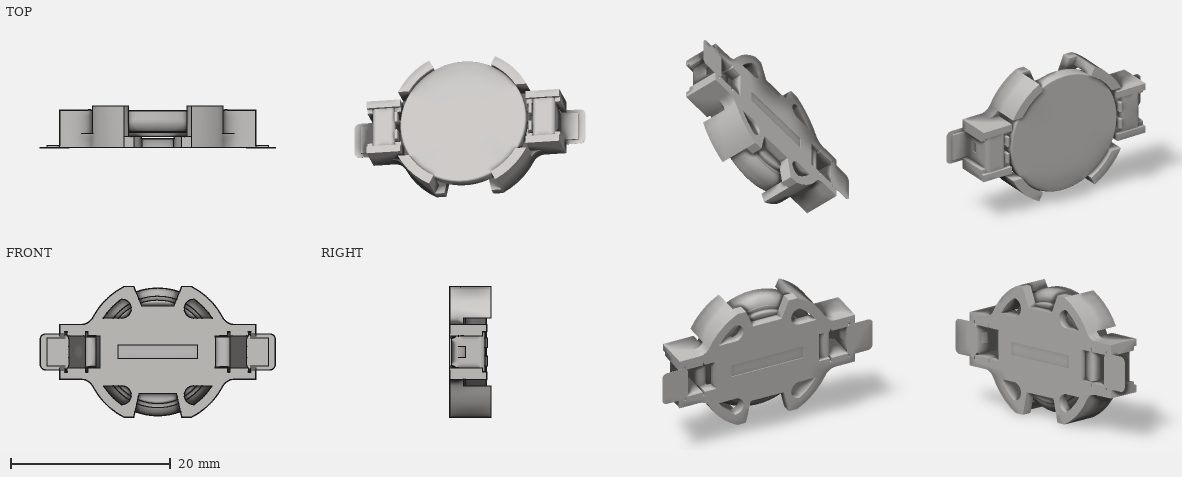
import cadquery as cq
import math


pad_thickness = 0.03
pad_outer_x = 14.73
pad_inner_x = 11.15
pad_half_height = 2.27
pad_corner_radius = 0.7

front = pad_thickness
cell_radius = 8.0
wall_radius = 9.22
holder_height = 16.4
holder_half_height = holder_height / 2
holder_half_length = 12.28
block_half_height = 3.45
neck_fillet_radius = 1.6
plate_top = 1.4
neck_top = 1.77
block_top = 4.7
wall_top = 5.25
wall_foot_z = 4.25
seat_floor = 1.15
seat_radius = 6.13

top_notch_depth_z = 5.77
top_notch_half_widths = (2.0, 3.0)
bottom_notch_depth_z = 5.18
bottom_notch_half_widths = (2.33, 3.0)

window_round_radius = 1.18
window_round_x = 4.5

label_half_length = 5.0
label_half_height = 0.85
label_depth = 0.1

strip = 0.27
bend_radius = 1.5 * strip
foot_end_x = 13.88
outer_leg_x = 11.5
inner_leg_x = 8.9
terminal_top = 4.45
foot_half_width = 1.75
outer_leg_half_width = 1.97
shoulder_half_width = 2.47
inner_leg_half_width = 1.9
arm_tilt = math.radians(20)
arm_end_x = 6.25
side_contact_radius = 0.53
side_contact_center_y = 2.05
face_contact_radius = 0.45
face_contact_center_y = 0.95
mount_shoulder_start_y = 1.18
side_shoulder_start_y = side_contact_center_y
shoulder_full_y = 3.83
strip_middle_y = terminal_top - strip / 2
upper_bend_y = strip_middle_y - bend_radius
plate_middle_x = (inner_leg_x + outer_leg_x) / 2

barb_half_width = 0.68
barb_bottom = 1.12
barb_top = 2.03
barb_reach = 0.27

finger_top = 4.8
finger_bottom = 3.54
finger_end_x = 8.35
finger_inner_z = 0.53
finger_outer_z = 1.77
finger_round = 0.15

channel_half_width = 2.0
channel_inner_x = 7.22
slit_half_height = 2.53
arm_channel_floor = 0.68
arm_channel_end_x = 5.9

cell_back = 4.65
can_back_fillet = 0.2
can_shoulder_y = 3.45
can_shoulder_radius = 1.47
can_mouth_radius = 6.98
can_wall = 0.27
gasket_front = 1.95
cap_radius = 6.48
cap_fillet = 0.27
cap_front = plate_top


def box(x_range, y_range, z_range):
    size = [high - low for low, high in (x_range, y_range, z_range)]
    return cq.Workplane("XY").box(*size, centered=False).translate((x_range[0], y_range[0], z_range[0]))


def on_front(y):
    """Sketch plane facing the board at depth y; negative extrusions go toward +Y."""
    return cq.Workplane("XZ", origin=(0, y, 0))


def disc(radius, y_low, y_high):
    return on_front(y_low).circle(radius).extrude(y_low - y_high)


def mirrored(shape, planes):
    for plane in planes:
        shape = shape.union(shape.mirror(plane))
    return shape


def point_at(center, radius, angle):
    return (center[0] + radius * math.cos(angle), center[1] + radius * math.sin(angle))



flat_half_width = math.sqrt(wall_radius**2 - holder_half_height**2)
wall_end_angle = math.atan2(holder_half_height, flat_half_width)


def outline_body(y_top):
    """Holder outline, extruded from its front face to y_top."""
    fillet_z = block_half_height + neck_fillet_radius
    fillet_x = math.sqrt((wall_radius + neck_fillet_radius) ** 2 - fillet_z**2)
    neck_angle = math.atan2(fillet_z, fillet_x)
    arc_middle = point_at((0, 0), wall_radius, (wall_end_angle + neck_angle) / 2)
    tangent = point_at((0, 0), wall_radius, neck_angle)
    fillet_middle_angle = (neck_angle + math.pi + math.radians(270)) / 2
    fillet_middle = point_at((fillet_x, fillet_z), neck_fillet_radius, fillet_middle_angle)
    quarter = (
        on_front(front)
        .lineTo(0, holder_half_height)
        .lineTo(flat_half_width, holder_half_height)
        .threePointArc(arc_middle, tangent)
        .threePointArc(fillet_middle, (fillet_x, block_half_height))
        .lineTo(holder_half_length, block_half_height)
        .lineTo(holder_half_length, 0)
        .close()
        .extrude(front - y_top)
    )
    return mirrored(quarter, ("YZ", "XY"))


def round_walls():
    """Four wall arcs around the cell, each from the neck to the radial end cut."""
    reach = 2 * wall_radius
    sector = (
        on_front(front)
        .moveTo(wall_foot_z / math.tan(wall_end_angle), wall_foot_z)
        .lineTo(*point_at((0, 0), reach, wall_end_angle))
        .lineTo(reach, wall_foot_z)
        .close()
        .extrude(front - wall_top)
    )
    ring = outline_body(wall_top).cut(disc(cell_radius, front, wall_top))
    return ring.intersect(mirrored(sector, ("YZ", "XY")))


def necks():
    """Raised stretches of the outline between the end blocks and the round walls."""
    band_x = (-holder_half_length, holder_half_length)
    band = box(band_x, (front, neck_top), (-wall_foot_z, wall_foot_z))
    return outline_body(neck_top).intersect(band)


def end_block():
    return box((cell_radius, holder_half_length), (front, block_top), (-block_half_height, block_half_height))


def notch(depth_z, half_widths, side):
    inner, outer = half_widths
    return (
        on_front(front)
        .moveTo(-inner, side * depth_z)
        .lineTo(inner, side * depth_z)
        .lineTo(outer, side * holder_half_height)
        .lineTo(-outer, side * holder_half_height)
        .close()
        .extrude(front - plate_top)
    )


def plate_window():
    """Opening bounded by the cell circle, a level edge and a round inner end."""
    round_z = wall_foot_z + window_round_radius
    height = 2 * window_round_radius
    level = box((window_round_x, cell_radius), (front, plate_top), (wall_foot_z, wall_foot_z + height))
    round_end = disc(window_round_radius, front, plate_top).translate((window_round_x, 0, round_z))
    return level.union(round_end).intersect(disc(cell_radius, front, plate_top))


def terminal_channel():
    """Through channel, shoulder slot, leg slits and bend reliefs in one end block."""
    end_x = holder_half_length
    narrow = (-channel_half_width, channel_half_width)
    wide = (-slit_half_height, slit_half_height)
    plate_bottom = terminal_top - strip
    channel = box((channel_inner_x, end_x), (front, block_top), narrow)
    channel = channel.union(box((cell_radius, end_x), (plate_bottom, block_top), wide))
    for leg_x, bend_direction in ((inner_leg_x, 1), (outer_leg_x, -1)):
        slit_x = (leg_x - strip / 2, leg_x + strip / 2)
        bend_x = sorted((leg_x, leg_x + bend_direction * bend_radius))
        channel = channel.union(box(slit_x, (front, block_top), wide))
        channel = channel.union(box(bend_x, (upper_bend_y, block_top), wide))
    return channel


def make_holder():
    holder = outline_body(plate_top).union(necks()).union(mirrored(end_block(), ("YZ",)))
    holder = holder.cut(disc(cell_radius, plate_top, wall_top))
    holder = holder.cut(disc(seat_radius, seat_floor, wall_top))
    holder = holder.union(round_walls())
    holder = holder.cut(notch(top_notch_depth_z, top_notch_half_widths, 1))
    holder = holder.cut(notch(bottom_notch_depth_z, bottom_notch_half_widths, -1))
    holder = holder.cut(mirrored(plate_window(), ("YZ", "XY")))
    holder = holder.cut(mirrored(terminal_channel(), ("YZ",)))
    arm_z = (-channel_half_width, channel_half_width)
    holder = holder.cut(box((arm_channel_end_x, channel_inner_x), (arm_channel_floor, plate_top), arm_z))
    label_x = (-label_half_length, label_half_length)
    label_z = (-label_half_height, label_half_height)
    return holder.cut(box(label_x, (front, front + label_depth), label_z))




def sweep_strip(path, start):
    """Sheet strip of full width along a path that starts in the X direction."""
    section = cq.Workplane("YZ", origin=(start[0], start[1], 0)).rect(strip, 2 * shoulder_half_width)
    return section.sweep(path)


def trim_width(blank, lower_edge, leg_half_width, shoulder_start_y):
    """Trim a strip to the leg width, widening to the shoulders near the top."""
    upper_edge = [
        (shoulder_start_y, leg_half_width),
        (shoulder_full_y, shoulder_half_width),
        (terminal_top, shoulder_half_width),
    ]
    edge = lower_edge + upper_edge
    opposite_edge = [(y, -z) for y, z in reversed(edge)]
    widths = cq.Workplane("YZ").polyline(edge + opposite_edge).close().extrude(foot_end_x)
    return blank.intersect(widths)


def mounting_strip():
    """Foot, outer leg and the outer half of the top plate."""
    foot_y = front + strip / 2
    lower_center = (outer_leg_x + bend_radius, foot_y + bend_radius)
    upper_center = (outer_leg_x - bend_radius, upper_bend_y)
    lower_middle = point_at(lower_center, bend_radius, math.radians(225))
    upper_middle = point_at(upper_center, bend_radius, math.radians(45))
    start = (foot_end_x, foot_y)
    path = (
        cq.Workplane("XY")
        .moveTo(*start)
        .lineTo(lower_center[0], foot_y)
        .threePointArc(lower_middle, (outer_leg_x, lower_center[1]))
        .lineTo(outer_leg_x, upper_bend_y)
        .threePointArc(upper_middle, (upper_center[0], strip_middle_y))
        .lineTo(plate_middle_x, strip_middle_y)
    )
    foot_top = front + 2 * strip
    chamfer = outer_leg_half_width - foot_half_width
    foot_edge = [
        (front, foot_half_width),
        (foot_top, foot_half_width),
        (foot_top + chamfer, outer_leg_half_width),
    ]
    return trim_width(sweep_strip(path, start), foot_edge, outer_leg_half_width, mount_shoulder_start_y)


def contact_strip(center_y, radius, end_angle, arm_end):
    """Inner half of the top plate, inner leg, contact bend and, where arm_end is given, a straight arm."""
    upper_center = (inner_leg_x + bend_radius, upper_bend_y)
    upper_middle = point_at(upper_center, bend_radius, math.radians(135))
    center = (inner_leg_x - radius, center_y)
    bend_end = point_at(center, radius, end_angle)
    start = (plate_middle_x, strip_middle_y)
    path = (
        cq.Workplane("XY")
        .moveTo(*start)
        .lineTo(upper_center[0], strip_middle_y)
        .threePointArc(upper_middle, (inner_leg_x, upper_bend_y))
        .lineTo(inner_leg_x, center_y)
        .threePointArc(point_at(center, radius, end_angle / 2), bend_end)
    )
    if arm_end is not None:
        rise = (bend_end[0] - arm_end) * math.tan(arm_tilt)
        path = path.lineTo(arm_end, bend_end[1] + rise)
    lower_edge = [(front, inner_leg_half_width)]
    return trim_width(sweep_strip(path, start), lower_edge, inner_leg_half_width, side_shoulder_start_y)


def barb(reach):
    """Tab in the outer leg whose upper end leans inward by reach; zero gives the opening it leaves."""
    inner_x = outer_leg_x - strip / 2
    outer_x = outer_leg_x + strip / 2
    return (
        cq.Workplane("XY", origin=(0, 0, -barb_half_width))
        .moveTo(inner_x, barb_bottom)
        .lineTo(outer_x, barb_bottom)
        .lineTo(outer_x - reach, barb_top)
        .lineTo(inner_x - reach, barb_top)
        .close()
        .extrude(2 * barb_half_width)
    )


def stop_fingers():
    finger_x = (finger_end_x, inner_leg_x - strip / 2)
    finger = box(finger_x, (finger_bottom, finger_top), (finger_inner_z, finger_outer_z))
    return mirrored(finger.edges("|Z and >Y").fillet(finger_round), ("XY",))


def make_terminal(contact):
    """Terminal at +X around the given contact strip."""
    mount = mounting_strip().cut(barb(0)).union(barb(barb_reach))
    return mount.union(contact).union(stop_fingers())


def make_side_terminal():
    """Terminal at -X whose rounded end faces the side of the can."""
    contact = contact_strip(side_contact_center_y, side_contact_radius, -math.pi, None)
    return make_terminal(contact).mirror("YZ")


def make_face_terminal():
    """Terminal at +X whose sloping arm reaches under the cap."""
    bend_end_angle = -math.pi / 2 - arm_tilt
    return make_terminal(contact_strip(face_contact_center_y, face_contact_radius, bend_end_angle, arm_end_x))




def make_pad(side):
    pad = box((pad_inner_x, pad_outer_x), (0, pad_thickness), (-pad_half_height, pad_half_height))
    pad = pad.edges("|Y").fillet(pad_corner_radius)
    return pad if side > 0 else pad.mirror("YZ")




def make_can():
    """Cup with a rounded shoulder, open toward the board."""
    arc_center = (can_shoulder_y, cell_radius - can_shoulder_radius)
    mouth_angle = math.pi - math.asin((can_mouth_radius - arc_center[1]) / can_shoulder_radius)
    mouth = point_at(arc_center, can_shoulder_radius, mouth_angle)
    middle = point_at(arc_center, can_shoulder_radius, (mouth_angle + math.pi / 2) / 2)
    inside_back = cell_back - can_wall
    can = (
        cq.Workplane("YZ")
        .moveTo(cell_back, 0)
        .lineTo(cell_back, cell_radius)
        .lineTo(can_shoulder_y, cell_radius)
        .threePointArc(middle, mouth)
        .lineTo(inside_back, can_mouth_radius)
        .lineTo(inside_back, 0)
        .close()
        .revolve(360, (0, 0, 0), (1, 0, 0))
    )
    return can.edges(">Y").fillet(can_back_fillet)


def make_gasket():
    inside_back = cell_back - can_wall
    return disc(can_mouth_radius, gasket_front, inside_back).cut(disc(cap_radius, gasket_front, inside_back))


def make_cap():
    return disc(cap_radius, cap_front, cell_back - can_wall).faces("<Y").edges().fillet(cap_fillet)


holder = make_holder()
side_terminal = make_side_terminal()
face_terminal = make_face_terminal()
pads = [make_pad(side) for side in (-1, 1)]
can = make_can()
gasket = make_gasket()
cap = make_cap()

result = cq.Compound.makeCompound(
    [
        *holder.solids().vals(),
        *side_terminal.solids().vals(),
        *face_terminal.solids().vals(),
        *[pad.solids().val() for pad in pads],
        *can.solids().vals(),
        *gasket.solids().vals(),
        *cap.solids().vals(),
    ]
)